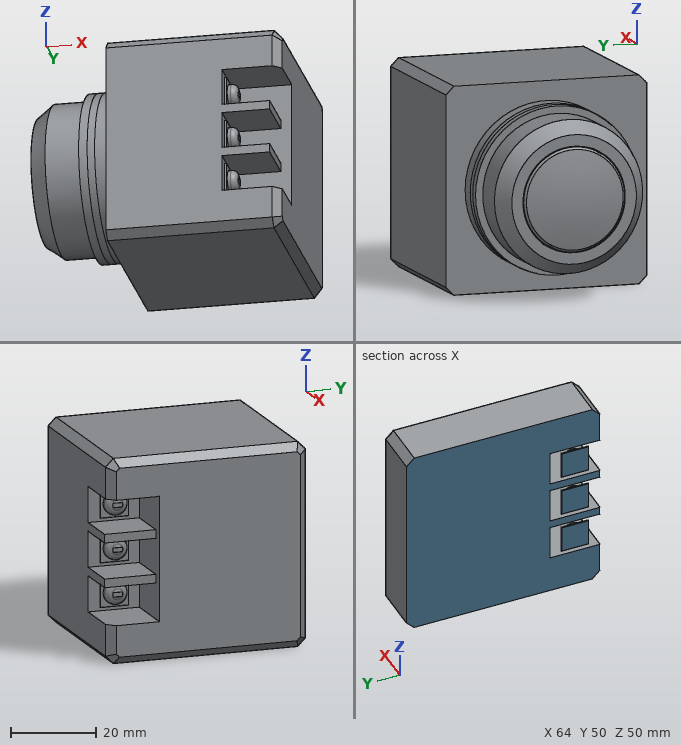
import cadquery as cq
import math

LENGTH = 64.0

BEZEL_FRONT = 2.0
BEZEL_SHOULDER = 6.0
CLAMP_FRONT = 14.45
GASKET_FRONT = 16.5
COLLAR_FRONT = 18.3
BLOCK_FRONT = 22.0

LENS_RADIUS = 12.55
LENS_CHAMFER = 0.5
LENS_SAG = 1.5
LENS_DEPTH = 4.0

BEZEL_RADIUS = 18.4
BEZEL_FACE_RADIUS = 15.5
BORE_CLEARANCE = 0.2
COLLAR_RADIUS = 20.2

BLOCK_WIDTH = 50.0
BLOCK_CHAMFER = 2.0

BAY_COUNT = 3
BAY_HEIGHT = 8.8
FIN_THICKNESS = 2.1
BAY_PITCH = BAY_HEIGHT + FIN_THICKNESS
BAY_FLOOR = 49.9
FIN_END = 61.4
BAY_DEPTH = 12.8
BAY_BACK = BAY_DEPTH - BLOCK_WIDTH / 2
BAYS_HEIGHT = BAY_COUNT * BAY_HEIGHT + (BAY_COUNT - 1) * FIN_THICKNESS

PLATE_SIZE = 7.0
PLATE_THICKNESS = 0.5
HEAD_RADIUS = 2.8
HEAD_SIDE = 0.8
HEAD_CORNER = 1.5
HEAD_CROWN = 0.3
SLOT_WIDTH = 1.1
SLOT_DEPTH = 0.25


def box_between(x_range, y_range, z_range):
    """Box given by its limits along each axis."""
    spans = [high - low for low, high in (x_range, y_range, z_range)]
    corner = (x_range[0], y_range[0], z_range[0])
    return cq.Workplane("XY").box(*spans, centered=False).translate(corner)


def disc(start, end, radius):
    """Cylinder on the X axis between two stations."""
    return cq.Workplane("YZ", origin=(start, 0, 0)).circle(radius).extrude(end - start)


def spin(outline):
    """Revolve a profile, drawn with X across and radius up, around the X axis."""
    return outline.close().revolve(360, (0, 0, 0), (1, 0, 0))


def dome_drop(edge_radius, height):
    """Drop of a spherical dome below its apex, halfway out to its edge."""
    sphere_radius = (edge_radius**2 + height**2) / (2 * height)
    return sphere_radius - math.sqrt(sphere_radius**2 - (edge_radius / 2) ** 2)


def make_lens():
    """Domed lens with a chamfered rim."""
    edge_radius = LENS_RADIUS - LENS_CHAMFER
    back = BEZEL_FRONT + LENS_DEPTH
    return spin(
        cq.Workplane("XY")
        .moveTo(0, 0)
        .threePointArc((dome_drop(edge_radius, LENS_SAG), edge_radius / 2), (LENS_SAG, edge_radius))
        .lineTo(LENS_SAG + LENS_CHAMFER, LENS_RADIUS)
        .lineTo(back, LENS_RADIUS)
        .lineTo(back, 0)
    )


def make_bezel():
    """Cylinder with a conical nose and a blind bore that seats the lens."""
    bezel = spin(
        cq.Workplane("XY")
        .moveTo(BEZEL_FRONT, 0)
        .lineTo(BEZEL_FRONT, BEZEL_FACE_RADIUS)
        .lineTo(BEZEL_SHOULDER, BEZEL_RADIUS)
        .lineTo(CLAMP_FRONT, BEZEL_RADIUS)
        .lineTo(CLAMP_FRONT, 0)
    )
    return bezel.cut(disc(BEZEL_FRONT, BEZEL_FRONT + LENS_DEPTH, LENS_RADIUS + BORE_CLEARANCE))


def make_terminal_bays():
    """Space removed for the bays: one open pocket less the fins that divide it."""
    y_range = (-BLOCK_WIDTH / 2, BAY_BACK)
    bays = box_between((BAY_FLOOR, LENGTH), y_range, (-BAYS_HEIGHT / 2, BAYS_HEIGHT / 2))
    for index in range(BAY_COUNT - 1):
        fin_bottom = -BAYS_HEIGHT / 2 + BAY_HEIGHT + index * BAY_PITCH
        fin_z_range = (fin_bottom, fin_bottom + FIN_THICKNESS)
        bays = bays.cut(box_between((BAY_FLOOR, FIN_END), y_range, fin_z_range))
    return bays


def make_terminal_screw(height):
    """Square clamp plate and slotted round head on the floor of the bay at this height."""
    head_start = BAY_FLOOR + PLATE_THICKNESS
    corner_start = head_start + HEAD_SIDE
    corner_end = corner_start + HEAD_CORNER
    head_end = corner_end + HEAD_CROWN
    crown_radius = HEAD_RADIUS - HEAD_CORNER
    half_plate = PLATE_SIZE / 2

    plate = box_between((BAY_FLOOR, head_start), (-half_plate, half_plate), (-half_plate, half_plate))
    corner_bulge = HEAD_CORNER * math.sqrt(0.5)
    head = spin(
        cq.Workplane("XY")
        .moveTo(head_start, 0)
        .lineTo(head_start, HEAD_RADIUS)
        .lineTo(corner_start, HEAD_RADIUS)
        .threePointArc(
            (corner_start + corner_bulge, crown_radius + corner_bulge),
            (corner_end, crown_radius),
        )
        .threePointArc(
            (head_end - dome_drop(crown_radius, HEAD_CROWN), crown_radius / 2),
            (head_end, 0),
        )
    )
    slot = box_between(
        (head_end - SLOT_DEPTH, head_end),
        (-HEAD_RADIUS, HEAD_RADIUS),
        (-SLOT_WIDTH / 2, SLOT_WIDTH / 2),
    )
    bay_middle = BAY_BACK - BAY_DEPTH / 2
    return plate.union(head.cut(slot)).translate((0, bay_middle, height))


def make_housing():
    """Chamfered block with its round collar, terminal bays and screws."""
    half_width = BLOCK_WIDTH / 2
    housing = box_between((BLOCK_FRONT, LENGTH), (-half_width, half_width), (-half_width, half_width))
    housing = housing.edges("|X").chamfer(BLOCK_CHAMFER)
    housing = housing.faces(">X").chamfer(BLOCK_CHAMFER)
    housing = housing.union(disc(COLLAR_FRONT, BLOCK_FRONT, COLLAR_RADIUS))
    housing = housing.cut(make_terminal_bays())
    for index in range(BAY_COUNT):
        height = (index - (BAY_COUNT - 1) / 2) * BAY_PITCH
        housing = housing.union(make_terminal_screw(height))
    return housing


lens = make_lens()
bezel = make_bezel()
clamp_ring = disc(CLAMP_FRONT, GASKET_FRONT, COLLAR_RADIUS)
gasket = disc(GASKET_FRONT, COLLAR_FRONT, COLLAR_RADIUS)
housing = make_housing()

result = cq.Compound.makeCompound(
    [lens.val(), bezel.val(), clamp_ring.val(), gasket.val(), housing.val()]
)